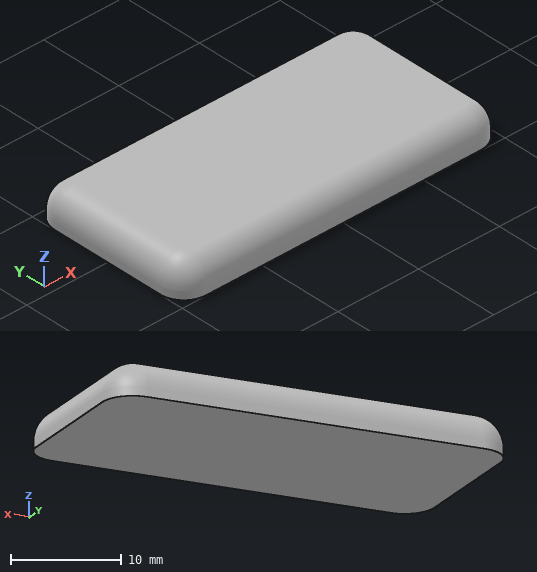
import cadquery as cq

length = 40.0
width = 20.0
height = 4.0

edge_radius = 3.0

block = cq.Workplane("XY").box(length, width, height, centered=(True, True, False))
rounded_corners = block.edges("|Z").fillet(edge_radius)
result = rounded_corners.faces(">Z").edges().fillet(edge_radius)